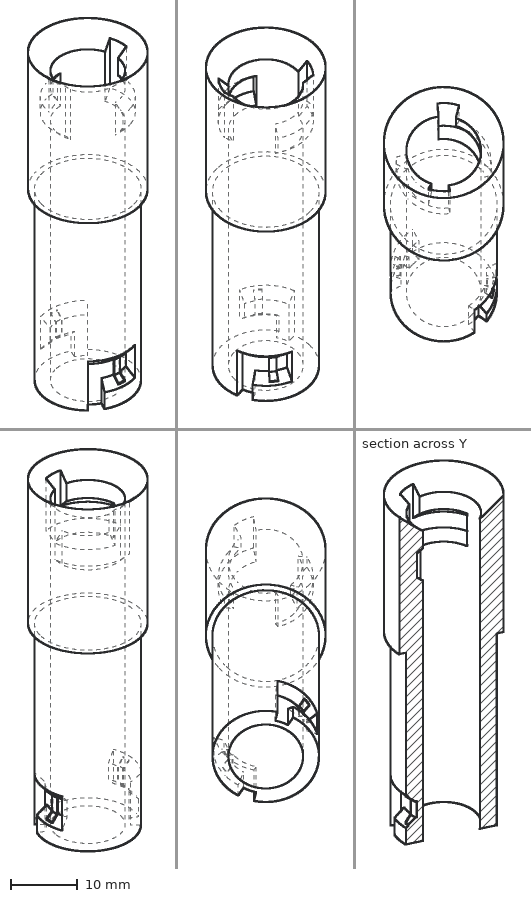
import cadquery as cq
import math

length = 60.0
head_diameter = 18.0
shank_diameter = 16.0
bore_diameter = 11.2
head_length = 25.0
head_radius = head_diameter / 2
shank_radius = shank_diameter / 2
bore_radius = bore_diameter / 2
funnel_depth = head_radius - bore_radius

groove_count = 2
radial_overrun = 0.6

outer_depth = 1.55
outer_floor_radius = shank_radius - outer_depth
outer_low_z = 3.05
outer_high_z = 9.0
outer_start_angle = 163.8
outer_entry_sweep = 18.2
outer_sweep = 62.0

detent_height = 0.2
detent_outer_radius = 7.6
detent_start_angle = 200.5
detent_sweep = 10.0

inner_floor_radius = 7.15
inner_depth = inner_floor_radius - bore_radius
inner_high_z = 53.45
inner_height = outer_high_z - outer_low_z
inner_low_z = inner_high_z - inner_height
inner_start_angle = 31.0
inner_end_angle = 136.0
inner_entry_sweep = 26.5


def ring_sector(profile, start_angle, sweep):
    """Revolve a closed (radius, z) profile around Z, counterclockwise from start_angle."""
    sector = cq.Workplane("XZ").polyline(profile).close().revolve(sweep, (0, 0, 0), (0, 1, 0))
    return sector.rotate((0, 0, 0), (0, 0, 1), start_angle)


def rectangle(inner_radius, outer_radius, low_z, high_z):
    return [
        (inner_radius, low_z),
        (outer_radius, low_z),
        (outer_radius, high_z),
        (inner_radius, high_z),
    ]


def trapezoid(mouth_radius, floor_radius, low_z, high_z):
    """Groove profile with 45 degree flanks that narrow from the mouth to the floor."""
    depth = abs(mouth_radius - floor_radius)
    overrun_radius = mouth_radius + math.copysign(radial_overrun, mouth_radius - floor_radius)
    return [
        (overrun_radius, low_z),
        (mouth_radius, low_z),
        (floor_radius, low_z + depth),
        (floor_radius, high_z - depth),
        (mouth_radius, high_z),
        (overrun_radius, high_z),
    ]


def outer_groove():
    channel = ring_sector(
        trapezoid(shank_radius, outer_floor_radius, outer_low_z, outer_high_z),
        outer_start_angle,
        outer_sweep,
    )
    entry_top_z = outer_high_z - outer_depth
    entry = ring_sector(
        rectangle(outer_floor_radius, shank_radius + radial_overrun, 0, entry_top_z),
        outer_start_angle,
        outer_entry_sweep,
    )
    return channel.union(entry)


def detent_rib():
    """Thin rib that lines the floor and both flanks of the outer groove."""
    blank = rectangle(
        outer_floor_radius - radial_overrun,
        detent_outer_radius,
        outer_low_z,
        outer_high_z,
    )
    opening = trapezoid(
        shank_radius,
        outer_floor_radius + detent_height,
        outer_low_z + detent_height,
        outer_high_z - detent_height,
    )
    rib = ring_sector(blank, detent_start_angle, detent_sweep)
    return rib.cut(ring_sector(opening, detent_start_angle, detent_sweep))


def inner_groove():
    channel = ring_sector(
        trapezoid(bore_radius, inner_floor_radius, inner_low_z, inner_high_z),
        inner_start_angle,
        inner_end_angle - inner_start_angle,
    )
    entry = ring_sector(
        rectangle(bore_radius - radial_overrun, inner_floor_radius, inner_low_z + inner_depth, length),
        inner_end_angle - inner_entry_sweep,
        inner_entry_sweep,
    )
    return channel.union(entry)


tube_profile = [
    (bore_radius, 0),
    (shank_radius, 0),
    (shank_radius, length - head_length),
    (head_radius, length - head_length),
    (head_radius, length),
    (bore_radius, length - funnel_depth),
]
full_turn = 360
result = ring_sector(tube_profile, 0, full_turn)

for index in range(groove_count):
    turn = index * full_turn / groove_count
    for cutter in (outer_groove().cut(detent_rib()), inner_groove()):
        result = result.cut(cutter.rotate((0, 0, 0), (0, 0, 1), turn))